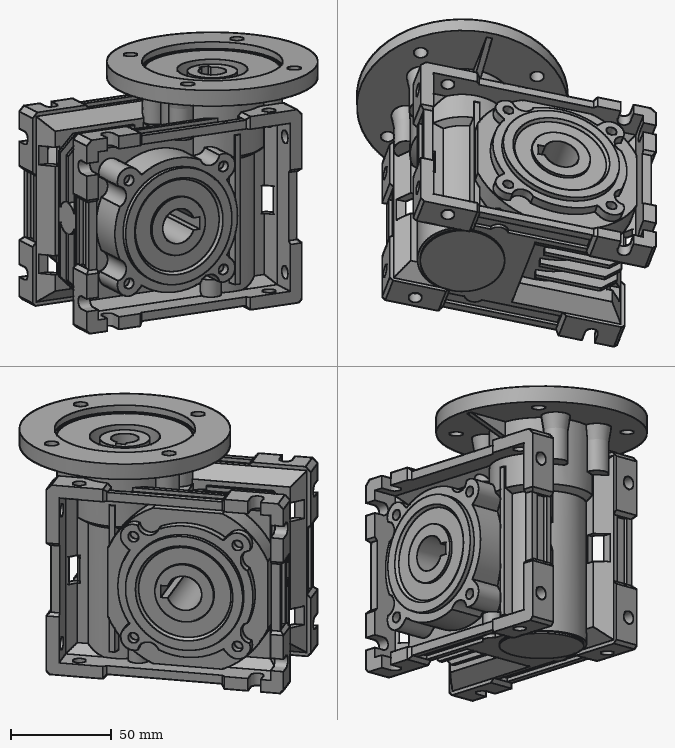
import cadquery as cq
import math


worm_y = 40.0
flange_diameter = 105.0
overall_length = 142.5
flange_top = 70.0
flange_thickness = 8.1

frame_half_z = 50.0
frame_back = 71.5
frame_wall = 6.5
frame_inner_x = 21.4
frame_outer_x = 35.5
rail_drop_x = 1.5
rail_drop = 2.0
foot_height = 32.8
front_foot_length = 32.2
back_foot_length = 31.0
foot_end_chamfer = 2.0
top_corner_chamfer = 2.7
bottom_corner_chamfer = 1.7
groove_inner_x = 24.1
groove_outer_x = 30.5
groove_depth = 2.0

web_inner_x = 13.8
web_outer_x = 17.0
slope_angle = 41.5
cavity_slope = 4.7
cavity_slope_angle = 45.0

bolt_spacing = 35.0
bolt_x = 29.8
bolt_diameter = 6.5
back_bolt_y = 56.0

window_x_max = 20.2
front_window_height = 9.8
front_window_z = 28.0
back_window_height = 14.5
front_window_depth = 11.4
back_window_depth = 12.7

casing_radius = 36.6
fin_thickness = 2.0
fin_pitch = 8.1
fin_front = 41.9
fin_half_z = 40.5
fin_chamfer = 8.3
plug_diameter = 16.4

worm_block_front = 8.4
worm_block_top = 38.9
worm_radius = 22.4
worm_cap_diameter = 42.0
worm_cap_bottom = -49.0
neck_radius = 26.1
neck_cone_bottom = 25.0
neck_bottom = 27.4
neck_step = 54.0
pillar_x = 14.0
pillar_y = 25.2
pillar_radius = 6.0
pillar_flare = 1.3
pillar_bottom = 37.8
gusset_reach = 49.3
gusset_thickness = 3.0
inner_rib_half_z = 38.6
inner_rib_x = 26.6
inner_rib_base_x = 22.0
inner_rib_base_thickness = 5.1
floor_boss_x = 21.4
floor_boss_y = 27.6
floor_boss_radius = 5.3
floor_boss_top = -34.5

seat_radius = 44.7
seat_half_width = 41.0
seat_x = 31.8
cover_radius = 34.6
cover_x = 36.5
lug_offset = 26.6
lug_radius = 6.5
lug_hole_diameter = 5.3
relief_radius = 5.5
relief_near = 19.0
relief_far = 33.8
ring_diameter = 60.0
ring_x = 39.2
seal_radius = 25.0
seal_floor_radius = 23.7
seal_floor_x = 37.6
hub_diameter = 30.0
hub_x = 39.0
bore_diameter = 18.0
bore_key_width = 6.3
bore_key_top = 12.0

spigot_diameter = 70.0
spigot_depth = 3.4
spigot_floor_diameter = 67.8
spigot_floor_depth = 4.0
annulus_diameter = 35.0
annulus_depth = 8.5
worm_hub_diameter = 25.0
worm_hub_drop = 1.0
worm_bore_diameter = 13.8
worm_bore_depth = 28.5
worm_key_width = 5.0
worm_key_top = 8.8
flange_hole_offset = 30.0
flange_hole_diameter = 6.8

flange_radius = flange_diameter / 2
frame_front = worm_y + flange_radius - overall_length
flange_bottom = flange_top - flange_thickness
worm_block_bottom = rail_drop - frame_half_z
frame_mid_y = (frame_front + frame_back) / 2
frame_length = frame_back - frame_front
frame_height = 2 * frame_half_z
frame_depth = frame_outer_x - frame_inner_x
rail_outer_x = frame_outer_x - rail_drop_x
far = 285.0


def box(x0, x1, y0, y1, z0, z1):
    """Box between opposite corners."""
    size = (x1 - x0, y1 - y0, z1 - z0)
    return cq.Workplane("XY").box(*size, centered=False).translate((x0, y0, z0))


def x_disc(radius, x0, x1, y=0.0):
    """Cylinder parallel to X, on the wheel axis by default."""
    return cq.Workplane("YZ", origin=(x0, y, 0)).circle(radius).extrude(x1 - x0)


def z_disc(radius, z0, z1, x=0.0, y=worm_y):
    """Cylinder parallel to Z, on the worm axis by default."""
    return cq.Workplane("XY", origin=(x, y, z0)).circle(radius).extrude(z1 - z0)


def frame_rect(x, inset):
    """Frame outline at a given X, drawn inset from the faces of the feet."""
    plane = cq.Workplane("YZ", origin=(x, frame_mid_y, 0))
    return plane.rect(frame_length - 2 * inset, frame_height - 2 * inset)


def foot(at_front, at_top):
    """Corner block with chamfered ends and a chamfered outer corner."""
    length = front_foot_length if at_front else back_foot_length
    block = cq.Workplane("XY").box(frame_depth, length, foot_height, centered=False)
    block = block.translate((frame_inner_x, -length, -foot_height))
    corner = top_corner_chamfer if at_top else bottom_corner_chamfer
    block = block.edges("|X and >Y and >Z").chamfer(corner)
    block = block.edges("(<Y and (>Z or >X)) or (<Z and (>Y or >X))").chamfer(foot_end_chamfer)
    block = block.translate((0, frame_back, frame_half_z))
    if at_front:
        block = block.mirror("XZ").translate((0, frame_front + frame_back, 0))
    return block if at_top else block.mirror("XY")


def rails():
    """Recessed frame between the feet, with a groove along each outer face."""
    body = frame_rect(frame_inner_x, rail_drop).extrude(rail_outer_x - frame_inner_x)
    groove_width = groove_outer_x - groove_inner_x
    groove = frame_rect(groove_inner_x, 0).extrude(groove_width)
    groove = groove.cut(frame_rect(groove_inner_x, rail_drop + groove_depth).extrude(groove_width))
    return body.cut(groove)


def tray_cavity():
    """Pocket open to the outside, with walls sloping down to the web."""
    rim_x = web_outer_x + cavity_slope
    slope = frame_rect(rim_x, frame_wall).extrude(-cavity_slope, taper=cavity_slope_angle)
    return slope.union(frame_rect(rim_x, frame_wall).extrude(far))


def windows():
    """Rectangular openings through the sloped front and back walls."""
    cuts = box(web_inner_x, window_x_max, frame_back - back_window_depth, frame_back,
               -back_window_height / 2, back_window_height / 2)
    for z in (-front_window_z, front_window_z):
        cuts = cuts.union(box(web_inner_x, window_x_max, frame_front, frame_front + front_window_depth,
                              z - front_window_height / 2, z + front_window_height / 2))
    return cuts


def bolt_slot(plane, origin, depth):
    """Round-ended slot that runs from the bolt position out through the mounting face."""
    hole = cq.Workplane(plane, origin=origin).circle(bolt_diameter / 2).extrude(depth)
    length = far - bolt_x
    opening = cq.Workplane(plane, origin=origin).center(length / 2, 0)
    return hole.union(opening.rect(length, bolt_diameter).extrude(depth))


def bolt_cuts():
    """Open slots in the front feet and round holes in the back feet."""
    cuts = cq.Workplane("XY")
    for side in (-1, 1):
        z = side * bolt_spacing
        inner_z = side * (frame_half_z - frame_wall)
        cuts = cuts.union(bolt_slot("XZ", (bolt_x, frame_front + frame_wall, z), frame_wall))
        cuts = cuts.union(bolt_slot("XY", (bolt_x, -bolt_spacing, inner_z), side * frame_wall))
        back_hole = cq.Workplane("XZ", origin=(bolt_x, frame_back, z))
        cuts = cuts.union(back_hole.circle(bolt_diameter / 2).extrude(frame_wall))
        end_hole = cq.Workplane("XY", origin=(bolt_x, back_bolt_y, inner_z))
        cuts = cuts.union(end_hole.circle(bolt_diameter / 2).extrude(side * frame_wall))
    return cuts


def tray():
    slope_depth = frame_inner_x - web_inner_x
    body = frame_rect(frame_inner_x, rail_drop).extrude(-slope_depth, taper=slope_angle)
    body = body.union(rails())
    for at_front in (False, True):
        for at_top in (False, True):
            body = body.union(foot(at_front, at_top))
    return body.cut(tray_cavity()).cut(windows()).cut(bolt_cuts())


def cover():
    """Round boss with four lugs and a round relief beside each lug."""
    thickness = cover_x - web_inner_x
    body = x_disc(cover_radius, web_inner_x, cover_x)
    lug_distance = math.hypot(lug_offset, lug_offset)
    for angle in (45, 135, 225, 315):
        arm = box(web_inner_x, cover_x, 0, lug_distance, -lug_radius, lug_radius)
        arm = arm.union(x_disc(lug_radius, web_inner_x, cover_x, lug_distance))
        body = body.union(arm.rotate((0, 0, 0), (1, 0, 0), angle))
    reliefs = [(y, side * z) for side in (-1, 1)
               for y, z in ((relief_near, relief_far), (-relief_far, relief_near))]
    relief_cuts = cq.Workplane("YZ", origin=(web_inner_x, 0, 0)).pushPoints(reliefs)
    return body.cut(relief_cuts.circle(relief_radius).extrude(thickness))


def seat():
    """Mounting plate under the removable cover: a disc with four flats."""
    disc = x_disc(seat_radius, web_inner_x, seat_x)
    square = cq.Workplane("YZ").rect(2 * seat_half_width, 2 * seat_half_width).extrude(seat_x)
    return disc.intersect(square)


def output_side(has_seat):
    body = cover().union(x_disc(ring_diameter / 2, cover_x, ring_x))
    if has_seat:
        body = body.union(seat())
    seal = cq.Workplane("YZ", origin=(ring_x, 0, 0)).circle(seal_radius)
    seal = seal.workplane(offset=seal_floor_x - ring_x).circle(seal_floor_radius).loft()
    body = body.cut(seal).union(x_disc(hub_diameter / 2, seal_floor_x, hub_x))
    lug_holes = cq.Workplane("YZ", origin=(seat_x, 0, 0))
    lug_holes = lug_holes.rect(2 * lug_offset, 2 * lug_offset, forConstruction=True).vertices()
    return body.cut(lug_holes.circle(lug_hole_diameter / 2).extrude(cover_x - seat_x))


def casing():
    body = x_disc(casing_radius, -web_outer_x, web_outer_x)
    for x in (-fin_pitch, 0, fin_pitch):
        fin = box(x - fin_thickness / 2, x + fin_thickness / 2, -fin_front, 0, -fin_half_z, fin_half_z)
        body = body.union(fin.edges("|X and <Y").chamfer(fin_chamfer))
    plug = cq.Workplane("XZ").circle(plug_diameter / 2).extrude(fin_front)
    return body.union(plug)


def worm_block():
    """Flat-fronted block that joins the wheel casing to the worm housing."""
    return box(-frame_inner_x, frame_inner_x, worm_block_front, worm_y, worm_block_bottom, worm_block_top)


def pillar(x, y):
    shaft = z_disc(pillar_radius, pillar_bottom, neck_step, x, y)
    flare = cq.Workplane("XY", origin=(x, y, neck_step)).circle(pillar_radius)
    flare = flare.workplane(offset=flange_bottom - neck_step).circle(pillar_radius + pillar_flare).loft()
    return shaft.union(flare)


def gussets():
    """Thin triangular plates that run from the neck out to the flange."""
    outline = [
        (-gusset_reach, flange_bottom),
        (gusset_reach, flange_bottom),
        (neck_radius, neck_step),
        (-neck_radius, neck_step),
    ]
    plane = cq.Workplane("XZ", origin=(0, worm_y, 0))
    return plane.polyline(outline).close().extrude(gusset_thickness / 2, both=True)


def inner_ribs():
    """Upright ribs that narrow away from the worm housing, one in each tray."""
    tip = gusset_thickness / 2
    base = inner_rib_base_thickness / 2
    outline = [
        (-inner_rib_x, tip),
        (-inner_rib_base_x, base),
        (inner_rib_base_x, base),
        (inner_rib_x, tip),
        (inner_rib_x, -tip),
        (inner_rib_base_x, -base),
        (-inner_rib_base_x, -base),
        (-inner_rib_x, -tip),
    ]
    plane = cq.Workplane("XY", origin=(0, worm_y, 0))
    return plane.polyline(outline).close().extrude(inner_rib_half_z, both=True)


def worm_housing():
    body = z_disc(worm_radius, worm_block_bottom, neck_cone_bottom)
    body = body.union(z_disc(worm_cap_diameter / 2, worm_cap_bottom, worm_block_bottom))
    cone = cq.Workplane("XY", origin=(0, worm_y, neck_cone_bottom)).circle(worm_radius)
    body = body.union(cone.workplane(offset=neck_bottom - neck_cone_bottom).circle(neck_radius).loft())
    body = body.union(z_disc(neck_radius, neck_bottom, flange_bottom))
    for x in (-pillar_x, pillar_x):
        for y in (worm_y - pillar_y, worm_y + pillar_y):
            body = body.union(pillar(x, y))
    body = body.union(gussets()).union(inner_ribs())
    for x in (-floor_boss_x, floor_boss_x):
        body = body.union(z_disc(floor_boss_radius, worm_block_bottom, floor_boss_top, x, floor_boss_y))
    return body


def flange():
    body = z_disc(flange_radius, flange_bottom, flange_top)
    holes = cq.Workplane("XY", origin=(0, worm_y, flange_bottom))
    holes = holes.rect(2 * flange_hole_offset, 2 * flange_hole_offset, forConstruction=True).vertices()
    return body.cut(holes.circle(flange_hole_diameter / 2).extrude(flange_thickness))


def motor_side_cuts():
    """Spigot recess, ring-shaped pocket around the worm hub, and keyed blind bore."""
    floor = flange_top - spigot_floor_depth
    hub_top = floor - worm_hub_drop
    cuts = z_disc(spigot_diameter / 2, flange_top - spigot_depth, flange_top)
    cuts = cuts.union(z_disc(spigot_floor_diameter / 2, floor, flange_top))
    pocket = z_disc(annulus_diameter / 2, floor - annulus_depth, floor)
    pocket = pocket.cut(z_disc(worm_hub_diameter / 2, floor - annulus_depth, hub_top))
    bore_bottom = hub_top - worm_bore_depth
    bore = z_disc(worm_bore_diameter / 2, bore_bottom, hub_top)
    key = box(-worm_key_top, 0, worm_y - worm_key_width / 2, worm_y + worm_key_width / 2,
              bore_bottom, hub_top)
    return cuts.union(pocket).union(bore).union(key)


def output_bore():
    bore = x_disc(bore_diameter / 2, -hub_x, hub_x)
    return bore.union(box(-hub_x, hub_x, 0, bore_key_top, -bore_key_width / 2, bore_key_width / 2))


closed_side = tray().union(output_side(has_seat=False))
cover_side = tray().union(output_side(has_seat=True)).mirror("YZ")
block = worm_block().cut(tray_cavity()).cut(tray_cavity().mirror("YZ"))
result = block.union(casing()).union(closed_side).union(cover_side)
result = result.union(worm_housing()).union(flange())
result = result.cut(motor_side_cuts()).cut(output_bore())